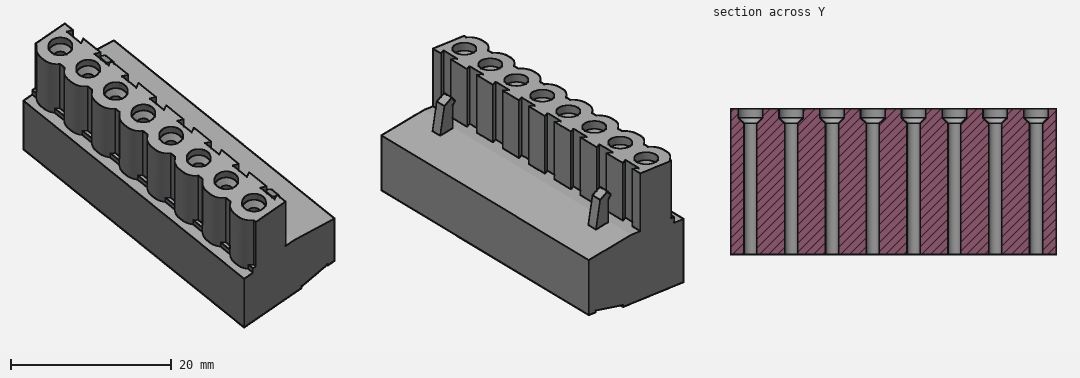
import cadquery as cq
import math

length = 40.55
depth = 15.32
height = 18.15
pole_count = 8
end_trim = 0.1
pitch = (length + end_trim) / pole_count
first_pole_x = pitch / 2 - end_trim
pole_xs = [first_pole_x + i * pitch for i in range(pole_count)]

ledge_z = 9.08
shelf_z = 9.9
shelf_back_y = 8.45
back_top_z = 8.75
back_bottom_z = 0.85
lip_y = 14.2
lip_top_z = 1.1
step_y = 9.75
step_z = 0.3

tower_back_y = 7.0
valley_y = 2.0
bulge_y = 0.97
bulge_radius = 2.2
bulge_flat = 0.53
tab_y = 1.5

hole_y = 4.0
bore_diameter = 3.0
bore_depth = 1.15
cone_depth = 0.7
through_diameter = 1.6

groove_depth = 0.73
groove_mouth = 1.85
groove_floor = 2.65

latch_width = 1.5
latch_inset = 4.3
latch_embed = 0.4
latch_front_y = 8.6
latch_foot_back_y = 10.6
latch_shoulder_y = 9.95
latch_shoulder_z = 13.55
latch_tip_y = 8.7
latch_tip_z = 14.3
latch_barb_y = 8.2
latch_barb_z = 13.65
latch_barb_root_z = 13.15


def make_base():
    """Base block with a sloped back; its top reaches forward to form the filler tabs in the valleys."""
    outline = [
        (0, 0), (step_y, 0), (step_y, step_z), (lip_y, lip_top_z), (lip_y, back_bottom_z),
        (depth, back_bottom_z), (depth, back_top_z), (shelf_back_y, shelf_z),
        (tab_y, shelf_z), (tab_y, ledge_z), (0, ledge_z),
    ]
    return cq.Workplane("YZ").polyline(outline).close().extrude(length)


def make_bulge(x):
    """Column in front of the tower: a narrow flat between two arcs tangent to it."""
    arc_drop = valley_y - bulge_y
    arc_run = math.sqrt(bulge_radius**2 - (bulge_radius - arc_drop) ** 2)
    half_angle = math.acos(1 - arc_drop / bulge_radius) / 2
    mid_run = bulge_radius * math.sin(half_angle)
    mid_y = bulge_y + bulge_radius * (1 - math.cos(half_angle))
    half_flat = bulge_flat / 2
    return (
        cq.Workplane("XY", origin=(x, 0, ledge_z))
        .moveTo(-half_flat, bulge_y)
        .lineTo(half_flat, bulge_y)
        .threePointArc((half_flat + mid_run, mid_y), (half_flat + arc_run, valley_y))
        .lineTo(half_flat + arc_run, hole_y)
        .lineTo(-half_flat - arc_run, hole_y)
        .lineTo(-half_flat - arc_run, valley_y)
        .threePointArc((-half_flat - mid_run, mid_y), (-half_flat, bulge_y))
        .close()
        .extrude(height - ledge_z)
    )


def make_tower():
    """Wall along the whole length, with one bulge in front of each pole."""
    tower = cq.Workplane("XY", origin=(0, valley_y, ledge_z)).box(
        length, tower_back_y - valley_y, height - ledge_z, centered=False
    )
    for x in pole_xs:
        tower = tower.union(make_bulge(x))
    return tower


def make_hole(x):
    """Straight bore, then a cone down to a narrow hole that runs through the base."""
    bore_radius = bore_diameter / 2
    through_radius = through_diameter / 2
    cone_top_z = height - bore_depth
    half_section = [
        (0, 0), (through_radius, 0), (through_radius, cone_top_z - cone_depth),
        (bore_radius, cone_top_z), (bore_radius, height), (0, height),
    ]
    return (
        cq.Workplane("XZ", origin=(x, hole_y, 0))
        .polyline(half_section)
        .close()
        .revolve(360, (0, 0), (0, 1))
    )


def make_groove(x):
    """Dovetail cutter, wider at its floor, running from the shelf to the top of the tower."""
    floor_y = tower_back_y - groove_depth
    outline = [
        (-groove_floor / 2, floor_y), (groove_floor / 2, floor_y),
        (groove_mouth / 2, tower_back_y), (-groove_mouth / 2, tower_back_y),
    ]
    return cq.Workplane("XY", origin=(x, 0, shelf_z)).polyline(outline).close().extrude(height - shelf_z)


def make_latch(x):
    """Upright hook with its barb toward the tower; its foot sinks into the shelf."""
    foot_z = shelf_z - latch_embed
    outline = [
        (latch_front_y, foot_z), (latch_foot_back_y, foot_z),
        (latch_shoulder_y, latch_shoulder_z), (latch_tip_y, latch_tip_z),
        (latch_barb_y, latch_barb_z), (latch_front_y, latch_barb_root_z),
    ]
    return cq.Workplane("YZ", origin=(x, 0, 0)).polyline(outline).close().extrude(latch_width)


result = make_base().union(make_tower())
for latch_x in (latch_inset, length - latch_inset - latch_width):
    result = result.union(make_latch(latch_x))
for pole_x in pole_xs:
    result = result.cut(make_hole(pole_x)).cut(make_groove(pole_x))